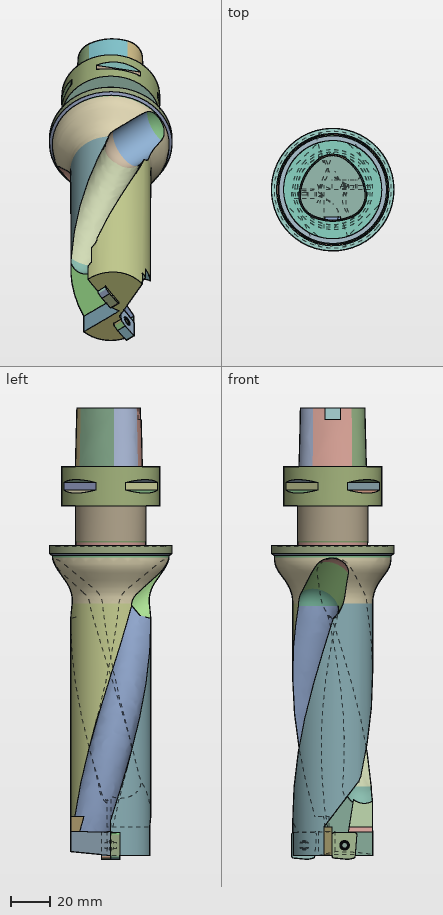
import cadquery as cq
import math


TAPER_LENGTH = 30.0
LOBE_REACH = 18.05
FLANK_REACH = 16.15
LOBE_CENTRE = 6.0
TAPER_ANGLE = math.degrees(math.atan(0.5 / 20))
KEY_WIDTH, KEY_HEIGHT, KEY_DEPTH = 8.0, 6.0, 1.5

COLLAR_RADIUS, COLLAR_HEIGHT = 25.0, 20.0
GRIP_FLOOR = 22.2
GRIP_FLOOR_HEIGHT, GRIP_MOUTH_HEIGHT = 3.7, 6.9

NECK_RADIUS = 36.07 / 2
UNDERCUT_RADIUS, UNDERCUT_HEIGHT, UNDERCUT_BEVEL = 35.68 / 2, 2.0, 0.7
SEAT_RADIUS, SEAT_DEPTH = 19.2, 0.3
FLANGE_RADIUS, FLANGE_TOP, FLANGE_BOTTOM = 62.5 / 2, -40.0, -44.3
SHOULDER_RADIUS, SHOULDER_TOP, SHOULDER_BOTTOM = 59.5 / 2, -45.3, -46.4
FACE_GROOVE_OUTER, FACE_GROOVE_INNER, FACE_GROOVE_DEPTH = 28.6, 27.4, 0.6
BARREL_RADIUS, BARREL_TOP, BARREL_BOTTOM = 20.4, -69.7, -198.0
CONVEX_SHARE = 0.39

FLUTE_RADIUS = 11.0
FLUTE_OFFSET = 16.8
FLUTE_TOP = -71.0
OUTER_FLUTE_BOTTOM, CENTRE_FLUTE_BOTTOM = -186.0, -163.0
FLUTE_TOP_ANGLE = 243.8
FLUTE_TWIST_RATE = 0.885
RUNOUT_DIRECTION = cq.Vector(0.38, -0.95, 0.78).normalized()
RUNOUT_LENGTH = 22.5

POCKET_EDGE_X = -4.5
POCKET_BEND_Z, POCKET_CREST_X, POCKET_CREST_Z = -183.5, 13.0, -160.5
WEB_INNER_X, WEB_OUTER_X = -7.3, 1.2
OUTER_POCKET_TOP, OUTER_POCKET_RIM = -185.7, -178.2
WALL_STEP = 3.0
WEB_RELIEF_DEPTH = 2.0
STEP_INNER_X, STEP_CREST_X = 8.0, 12.0
STEP_BOTTOM, STEP_BEVEL, STEP_DEPTH = -186.0, 2.5, 2.0
RAKE_Y = 0.2
END_SLOPE_RISE = 2.0
CLEAR = 30.0

INSERT_WIDTH, INSERT_THICKNESS = 12.7, 4.8
INSERT_TOP, INSERT_SHOULDER, INSERT_TIP = -186.3, -199.2, -199.99
INSERT_LEAN = 1.0
INSERT_CORNER = 1.0
NOSE_SHARE = 0.65
SCREW_STEPS = [(4.8, 0.6), (4.0, 1.6), (3.0, 3.0)]
CENTRE_INSERT_X, PERIPHERAL_INSERT_X = -0.3, -20.9


def polar(radius, angle):
    return (radius * math.cos(math.radians(angle)), radius * math.sin(math.radians(angle)))


def block(x_range, y_range, z_range):
    size = [high - low for low, high in (x_range, y_range, z_range)]
    return cq.Workplane("XY").box(*size, centered=False).translate((x_range[0], y_range[0], z_range[0]))


def polygon_taper():
    """Three-lobed taper: lobe arcs joined tangentially by flatter flank arcs."""
    lobe_radius = LOBE_REACH - LOBE_CENTRE
    gap = FLANK_REACH - lobe_radius
    flank_shift = (LOBE_CENTRE**2 - gap**2) / (2 * gap - LOBE_CENTRE)
    flank_radius = FLANK_REACH + flank_shift
    lobe_x, lobe_y = polar(LOBE_CENTRE, -30)
    lean = math.degrees(math.atan2(lobe_y - flank_shift, lobe_x))
    join_x, join_y = polar(flank_radius, lean)
    join_y += flank_shift
    join_radius = math.hypot(join_x, join_y)
    half_flank = 90 + math.degrees(math.atan2(join_y, join_x))

    outline = cq.Workplane("XY").moveTo(*polar(join_radius, -90 - half_flank))
    for flank in (-90, 30, 150):
        outline = outline.threePointArc(polar(FLANK_REACH, flank), polar(join_radius, flank + half_flank))
        outline = outline.threePointArc(polar(LOBE_REACH, flank + 60),
                                        polar(join_radius, flank + 120 - half_flank))
    taper = outline.close().extrude(TAPER_LENGTH, taper=TAPER_ANGLE)
    top_flank = FLANK_REACH - TAPER_LENGTH * math.tan(math.radians(TAPER_ANGLE))
    key = block((-KEY_WIDTH / 2, KEY_WIDTH / 2), (-top_flank - CLEAR, -top_flank + KEY_DEPTH),
                (TAPER_LENGTH - KEY_HEIGHT, TAPER_LENGTH + CLEAR))
    return taper.cut(key)


def turned_body():
    flare_drop = SHOULDER_BOTTOM - BARREL_TOP
    flare_step = SHOULDER_RADIUS - BARREL_RADIUS
    bend = (SHOULDER_RADIUS - CONVEX_SHARE * flare_step, SHOULDER_BOTTOM - CONVEX_SHARE * flare_drop)
    return (
        cq.Workplane("XZ")
        .lineTo(COLLAR_RADIUS, 0)
        .lineTo(COLLAR_RADIUS, -COLLAR_HEIGHT)
        .lineTo(NECK_RADIUS, -COLLAR_HEIGHT)
        .lineTo(NECK_RADIUS, FLANGE_TOP + UNDERCUT_HEIGHT)
        .lineTo(UNDERCUT_RADIUS, FLANGE_TOP + UNDERCUT_HEIGHT - UNDERCUT_BEVEL)
        .lineTo(UNDERCUT_RADIUS, FLANGE_TOP - SEAT_DEPTH)
        .lineTo(SEAT_RADIUS, FLANGE_TOP - SEAT_DEPTH)
        .lineTo(SEAT_RADIUS, FLANGE_TOP)
        .lineTo(FACE_GROOVE_INNER, FLANGE_TOP)
        .lineTo((FACE_GROOVE_INNER + FACE_GROOVE_OUTER) / 2, FLANGE_TOP - FACE_GROOVE_DEPTH)
        .lineTo(FACE_GROOVE_OUTER, FLANGE_TOP)
        .lineTo(FLANGE_RADIUS, FLANGE_TOP)
        .lineTo(FLANGE_RADIUS, FLANGE_BOTTOM)
        .lineTo(SHOULDER_RADIUS, SHOULDER_TOP)
        .lineTo(SHOULDER_RADIUS, SHOULDER_BOTTOM)
        .spline([bend, (BARREL_RADIUS, BARREL_TOP)], tangents=[(0, -1), (0, -1)], includeCurrent=True)
        .lineTo(BARREL_RADIUS, BARREL_BOTTOM)
        .lineTo(0, BARREL_BOTTOM)
        .close()
        .revolve(360, (0, 0, 0), (0, 1, 0))
    )


def gripper_slot(angle):
    """Flat-floored slot with sloped sides across the collar."""
    depth = COLLAR_RADIUS - GRIP_FLOOR
    floor = GRIP_FLOOR_HEIGHT / 2
    mouth = GRIP_MOUTH_HEIGHT - floor
    outer = GRIP_FLOOR + 2 * depth
    return (
        cq.Workplane("XZ")
        .polyline([(GRIP_FLOOR, -floor), (outer, -mouth), (outer, mouth), (GRIP_FLOOR, floor)])
        .close()
        .extrude(COLLAR_RADIUS, both=True)
        .translate((0, 0, -COLLAR_HEIGHT / 2))
        .rotate((0, 0, 0), (0, 0, 1), angle)
    )


def flute_ball(centre):
    return cq.Workplane("XY").sphere(FLUTE_RADIUS).translate(centre.toTuple())


def flute(bottom):
    """Helical flute from the given height up to a straight run-out that rises through the flare."""
    height = FLUTE_TOP - bottom
    twist = height * FLUTE_TWIST_RATE
    section = cq.Workplane("XY").moveTo(*polar(FLUTE_OFFSET, FLUTE_TOP_ANGLE - twist)).circle(FLUTE_RADIUS)
    helix = section.twistExtrude(height, twist).translate((0, 0, bottom))
    start = cq.Vector(*polar(FLUTE_OFFSET, FLUTE_TOP_ANGLE), FLUTE_TOP)
    runout = cq.Workplane(cq.Solid.makeCylinder(FLUTE_RADIUS, RUNOUT_LENGTH, start, RUNOUT_DIRECTION))
    end = start + RUNOUT_DIRECTION * RUNOUT_LENGTH
    return helix.union(runout).union(flute_ball(start)).union(flute_ball(end))


def outer_flute():
    return flute(OUTER_FLUTE_BOTTOM)


def centre_flute():
    """Opposite flute, closed at its lower end by a ball."""
    end_angle = FLUTE_TOP_ANGLE - (FLUTE_TOP - CENTRE_FLUTE_BOTTOM) * FLUTE_TWIST_RATE
    end = cq.Vector(*polar(FLUTE_OFFSET, end_angle), CENTRE_FLUTE_BOTTOM)
    return flute(CENTRE_FLUTE_BOTTOM).union(flute_ball(end)).rotate((0, 0, 0), (0, 0, 1), 180)


def centre_pocket():
    """Open quadrant in front of the centre insert, bounded above by a slanted wall."""
    return (
        cq.Workplane("XZ")
        .moveTo(POCKET_EDGE_X, BARREL_BOTTOM - CLEAR)
        .lineTo(POCKET_EDGE_X, POCKET_BEND_Z)
        .lineTo(POCKET_CREST_X, POCKET_CREST_Z)
        .lineTo(CLEAR, POCKET_CREST_Z)
        .lineTo(CLEAR, BARREL_BOTTOM - CLEAR)
        .close()
        .extrude(CLEAR)
    )


def outer_quadrant(top, wall_shift):
    """Open quadrant in front of the peripheral insert, with its side wall moved along X."""
    return (
        cq.Workplane("XY", origin=(0, 0, top))
        .polyline([(-CLEAR, RAKE_Y), (WEB_INNER_X + wall_shift, RAKE_Y),
                   (WEB_OUTER_X + wall_shift, BARREL_RADIUS), (WEB_OUTER_X + wall_shift, CLEAR),
                   (-CLEAR, CLEAR)])
        .close()
        .extrude(BARREL_BOTTOM - CLEAR - top)
    )


def outer_pocket():
    """Pocket of the peripheral insert; its side wall steps back below a narrow upper band."""
    return outer_quadrant(OUTER_POCKET_RIM, -WALL_STEP).union(outer_quadrant(OUTER_POCKET_TOP, 0))


def web_relief():
    """Three-sided groove between the pocket side wall and the centre insert."""
    return (
        cq.Workplane("XY", origin=(0, 0, POCKET_BEND_Z))
        .polyline([(POCKET_EDGE_X, 0), (POCKET_EDGE_X, WEB_RELIEF_DEPTH), (CENTRE_INSERT_X, 0)])
        .close()
        .extrude(BARREL_BOTTOM - CLEAR)
    )


def back_step():
    """Recess of the wall above the centre insert, with a bevelled lower side."""
    outline = (
        cq.Workplane("XZ")
        .polyline([(STEP_INNER_X, STEP_BOTTOM), (STEP_CREST_X, POCKET_CREST_Z), (CLEAR, POCKET_CREST_Z),
                   (CLEAR, STEP_BOTTOM)])
        .close()
        .extrude(-STEP_DEPTH)
    )
    bevel = (
        cq.Workplane("YZ")
        .polyline([(0, STEP_BOTTOM), (STEP_DEPTH, STEP_BOTTOM + STEP_BEVEL), (STEP_DEPTH, STEP_BOTTOM)])
        .close()
        .extrude(CLEAR)
    )
    return outline.cut(bevel)


def sloped_end():
    """Wedge that lifts the end face toward +Y behind the centre insert."""
    return (
        cq.Workplane("YZ")
        .polyline([(0, BARREL_BOTTOM), (BARREL_RADIUS, BARREL_BOTTOM + END_SLOPE_RISE),
                   (BARREL_RADIUS, BARREL_BOTTOM)])
        .close()
        .extrude(CLEAR, both=True)
    )


def insert_blank():
    """Four-sided insert with a slightly pointed cutting edge; the rake face lies in Y = 0, facing -Y."""
    return (
        cq.Workplane("XZ")
        .polyline([(0, INSERT_TOP), (INSERT_WIDTH, INSERT_TOP), (INSERT_WIDTH - INSERT_LEAN, INSERT_SHOULDER),
                   (NOSE_SHARE * INSERT_WIDTH, INSERT_TIP), (0, INSERT_SHOULDER)])
        .close()
        .extrude(-INSERT_THICKNESS)
        .edges("|Y").edges("not(<Z)")
        .fillet(INSERT_CORNER)
    )


def insert():
    blank = insert_blank()
    middle = (INSERT_WIDTH / 2, 0, (INSERT_TOP + INSERT_SHOULDER) / 2)
    for diameter, depth in SCREW_STEPS:
        blank = blank.cut(cq.Workplane("XZ", origin=middle).circle(diameter / 2).extrude(-depth))
    return blank


def at_centre(shape):
    return shape.translate((CENTRE_INSERT_X, 0, 0))


def at_periphery(shape):
    """Mirrored so that the rake face looks toward +Y."""
    return shape.mirror("XZ").translate((PERIPHERAL_INSERT_X, RAKE_Y, 0))


drill_body = turned_body().union(polygon_taper())
for angle in (45, 135, 225, 315):
    drill_body = drill_body.cut(gripper_slot(angle))
tip_cuts = (centre_pocket(), outer_pocket(), sloped_end(), web_relief(), back_step())
for cutter in (outer_flute(), centre_flute(), *tip_cuts):
    drill_body = drill_body.cut(cutter)
drill_body = drill_body.cut(at_centre(insert_blank())).cut(at_periphery(insert_blank()))

centre_insert = at_centre(insert())
peripheral_insert = at_periphery(insert())

result = cq.Compound.makeCompound([drill_body.val(), centre_insert.val(), peripheral_insert.val()])